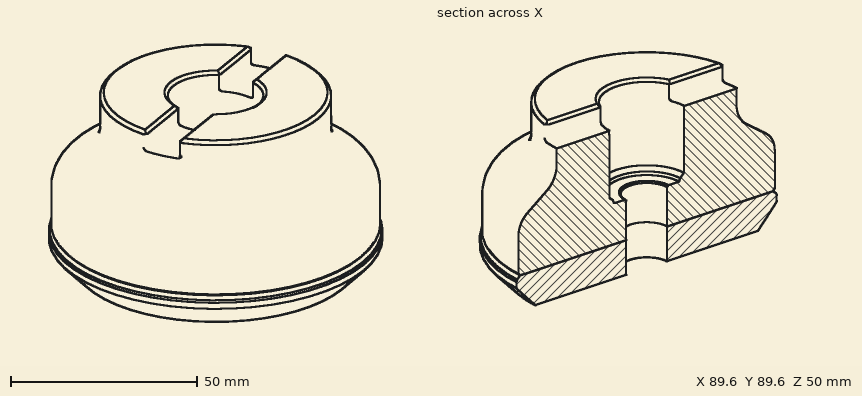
import cadquery as cq
import math

TOTAL_HEIGHT = 50.0
SPLIT_Z = 10.4

DISC_RADIUS = 44.8
BOTTOM_RADIUS = 38.25
BEVEL_TOP_Z = 6.5
BAND_BOTTOM_Z = 7.0
BAND_TOP_Z = 8.8
BAND_CHAMFER_Z = 9.4
BAND_ROUND_WIDTH = 0.3
SEAM_RADIUS = 43.5

BODY_RADIUS = 88.2 / 2
BODY_CHAMFER = BODY_RADIUS - SEAM_RADIUS
SHOULDER_Z = 22.1
SHOULDER_ROUND = 7.2
NECK_RADIUS = 62.0 / 2
NECK_ROUND = 8.1
SLOPE_ANGLE = math.radians(35)
EDGE_CHAMFER = 1.0

HOLE_RADIUS = 14.0 / 2
HOLE_CHAMFER = 0.45
BORE_TOP_RADIUS = 25.6 / 2
BORE_RADIUS = 25.4 / 2
BORE_CHAMFER = 0.9
BORE_STEP_Z = 43.7
BORE_STEP_HEIGHT = 1.0
BORE_FLOOR_Z = 22.4
BORE_CONE_RADIUS = 11.5
BORE_FLOOR_RADIUS = 11.1
BORE_LIP_HEIGHT = 0.9

SLOT_WIDTH = 9.9
SLOT_DEPTH = 5.7
SLOT_CHAMFER = 0.9
SLOT_ROUND = 0.8


def make_disc():
    """Bevelled base disc with a plain through hole."""
    return (
        cq.Workplane("XZ")
        .moveTo(HOLE_RADIUS, 0)
        .lineTo(BOTTOM_RADIUS, 0)
        .lineTo(DISC_RADIUS - BAND_ROUND_WIDTH, BEVEL_TOP_Z)
        .lineTo(DISC_RADIUS, BAND_BOTTOM_Z)
        .lineTo(DISC_RADIUS, BAND_TOP_Z)
        .lineTo(DISC_RADIUS - BAND_ROUND_WIDTH, BAND_CHAMFER_Z)
        .lineTo(SEAM_RADIUS, SPLIT_Z)
        .lineTo(HOLE_RADIUS, SPLIT_Z)
        .close()
        .revolve(360, (0, 0, 0), (0, 1, 0))
    )


def make_housing_blank():
    """Solid housing: straight body, rounded shoulder, conical slope and neck."""
    slope_bottom_r = BODY_RADIUS - SHOULDER_ROUND * (1 - math.sin(SLOPE_ANGLE))
    slope_bottom_z = SHOULDER_Z + SHOULDER_ROUND * math.cos(SLOPE_ANGLE)
    slope_top_r = NECK_RADIUS + NECK_ROUND * (1 - math.sin(SLOPE_ANGLE))
    slope_top_z = slope_bottom_z + (slope_bottom_r - slope_top_r) * math.tan(SLOPE_ANGLE)
    neck_bottom_z = slope_top_z + NECK_ROUND * math.cos(SLOPE_ANGLE)
    return (
        cq.Workplane("XZ")
        .moveTo(0, SPLIT_Z)
        .lineTo(SEAM_RADIUS, SPLIT_Z)
        .lineTo(BODY_RADIUS, SPLIT_Z + BODY_CHAMFER)
        .lineTo(BODY_RADIUS, SHOULDER_Z)
        .radiusArc((slope_bottom_r, slope_bottom_z), -SHOULDER_ROUND)
        .lineTo(slope_top_r, slope_top_z)
        .radiusArc((NECK_RADIUS, neck_bottom_z), NECK_ROUND)
        .lineTo(NECK_RADIUS, TOTAL_HEIGHT - EDGE_CHAMFER)
        .lineTo(NECK_RADIUS - EDGE_CHAMFER, TOTAL_HEIGHT)
        .lineTo(0, TOTAL_HEIGHT)
        .close()
        .revolve(360, (0, 0, 0), (0, 1, 0))
    )


def make_bore():
    """Stepped bore with a conical foot and the through hole below it."""
    cone_bottom_z = BORE_FLOOR_Z + BORE_LIP_HEIGHT
    cone_top_z = cone_bottom_z + BORE_RADIUS - BORE_CONE_RADIUS
    return (
        cq.Workplane("XZ")
        .moveTo(0, SPLIT_Z)
        .lineTo(HOLE_RADIUS, SPLIT_Z)
        .lineTo(HOLE_RADIUS, BORE_FLOOR_Z - HOLE_CHAMFER)
        .lineTo(HOLE_RADIUS + HOLE_CHAMFER, BORE_FLOOR_Z)
        .lineTo(BORE_FLOOR_RADIUS, BORE_FLOOR_Z)
        .lineTo(BORE_CONE_RADIUS, cone_bottom_z)
        .lineTo(BORE_RADIUS, cone_top_z)
        .lineTo(BORE_RADIUS, BORE_STEP_Z - BORE_STEP_HEIGHT)
        .lineTo(BORE_TOP_RADIUS, BORE_STEP_Z)
        .lineTo(BORE_TOP_RADIUS, TOTAL_HEIGHT - BORE_CHAMFER)
        .lineTo(BORE_TOP_RADIUS + BORE_CHAMFER, TOTAL_HEIGHT)
        .lineTo(0, TOTAL_HEIGHT)
        .close()
        .revolve(360, (0, 0, 0), (0, 1, 0))
    )


def chord_half_length(radius, offset):
    """Half length of a circle's chord at the given distance from the centre."""
    return math.sqrt(radius**2 - offset**2)


def make_slot():
    """Drive slot volume, flared where it meets the bore and the neck."""
    flare_x = SLOT_WIDTH / 2 + SLOT_ROUND
    bore_flare_y = chord_half_length(BORE_TOP_RADIUS, flare_x)
    neck_flare_y = chord_half_length(NECK_RADIUS, flare_x)
    end_length = BODY_RADIUS - neck_flare_y
    flare_width = 2 * SLOT_WIDTH

    floor = cq.Workplane("XY", origin=(0, 0, TOTAL_HEIGHT - SLOT_DEPTH))
    slot = floor.rect(SLOT_WIDTH, 2 * BODY_RADIUS).extrude(SLOT_DEPTH)
    slot = slot.union(floor.rect(flare_width, 2 * bore_flare_y).extrude(SLOT_DEPTH))
    for side in (-1, 1):
        end = floor.center(0, side * (neck_flare_y + end_length / 2))
        slot = slot.union(end.rect(flare_width, end_length).extrude(SLOT_DEPTH))

    wall_corners = cq.selectors.BoxSelector(
        (-flare_x, -BODY_RADIUS + SLOT_ROUND, 0),
        (flare_x, BODY_RADIUS - SLOT_ROUND, TOTAL_HEIGHT),
    )
    slot = slot.edges("|Z").edges(wall_corners).fillet(SLOT_ROUND)
    slot = slot.edges("<Z and |Y").edges(wall_corners).fillet(SLOT_ROUND)

    trim_width = flare_width / 2 - flare_x
    trims = (
        floor.pushPoints([(side * (flare_x + trim_width / 2), 0) for side in (-1, 1)])
        .rect(trim_width, 2 * bore_flare_y)
        .extrude(SLOT_DEPTH)
    )
    return slot.cut(trims)


def make_slot_chamfer():
    """Trapezoidal volume that bevels both upper edges of the slot."""
    bottom_z = TOTAL_HEIGHT - SLOT_CHAMFER
    bottom_x = SLOT_WIDTH / 2
    top_x = bottom_x + SLOT_CHAMFER
    outline = [
        (-bottom_x, bottom_z),
        (bottom_x, bottom_z),
        (top_x, TOTAL_HEIGHT),
        (-top_x, TOTAL_HEIGHT),
    ]
    return cq.Workplane("XZ").polyline(outline).close().extrude(BODY_RADIUS, both=True)


def make_housing():
    """Housing with its bore and drive slot."""
    return make_housing_blank().cut(make_bore()).cut(make_slot()).cut(make_slot_chamfer())


disc = make_disc()
housing = make_housing()

result = cq.Compound.makeCompound([disc.val(), housing.val()])